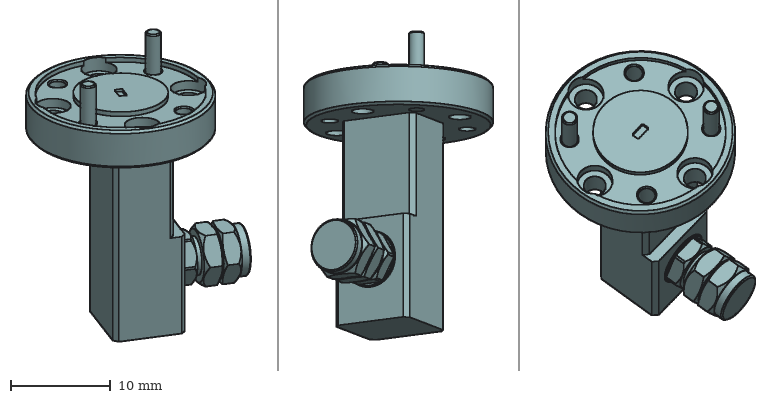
import cadquery as cq
import math

FLANGE_DIAMETER = 19.05
FLANGE_RADIUS = FLANGE_DIAMETER / 2
FLANGE_BOTTOM = 21.3
FLANGE_TOP = 25.45
FLANGE_CHAMFER = 0.25

RIM_INNER_RADIUS = 8.58
BOSS_RADIUS = 4.77
RECESS_DEPTH = 0.5
FLOOR_Z = FLANGE_TOP - RECESS_DEPTH

BOLT_CIRCLE_RADIUS = 7.15
SCREW_HOLE_RADIUS = 1.1
COUNTERBORE_RADIUS = 1.8
COUNTERBORE_DEPTH = 1.0
SCREW_ANGLES = (0, 90, 180, 270)
PIN_ANGLES = (135, 315)
PIN_CLEARANCE_ANGLES = (45, 225)
CLEARANCE_HOLE_RADIUS = 0.85
HOLE_CHAMFER = 0.15
HOLE_CHAMFER_ANGLE = 45

PIN_RADIUS = 0.8
PIN_TOP = 29.27
PIN_CHAMFER = 0.15

SLOT_LENGTH = 1.67
SLOT_WIDTH = 0.82
SLOT_DEPTH = 0.3
SLOT_CORNER_RADIUS = 0.15

BODY_WIDTH = 8.55
BODY_FRONT_Y = -2.05
BODY_BACK_Y = 4.33
BODY_CHAMFER = 0.5
STEP_BACK_Y = 5.55
STEP_TOP = 10.68

CONNECTOR_Z = 6.38
HEX_SIDES = 6
WASHER_RADIUS = 2.87
WASHER_END_Y = 5.77
WASHER_CHAMFER = 0.12
INNER_HEX_FLATS = 5.03
INNER_HEX_CORNER_RADIUS = 2.85
INNER_HEX_END_Y = 7.32
INNER_HEX_BEVEL = 0.35
NECK_RADIUS = 2.0
NUT_START_Y = 7.93
NUT_GROOVE_Y = 9.95
NUT_HEX_END_Y = 11.95
NUT_FLATS = 5.62
NUT_BEVEL = 0.5
GROOVE_RADIUS = 2.72
GROOVE_WIDTH = 0.15
GROOVE_BEVEL = 0.23
NUT_COLLAR_RADIUS = 2.7
NUT_END_Y = 12.95
NUT_COLLAR_CHAMFER = 0.15


def cylinder(radius, bottom, top):
    """Upright cylinder centred on the flange axis."""
    return cq.Workplane("XY").workplane(offset=bottom).circle(radius).extrude(top - bottom)


def on_bolt_circle(tool, angle):
    """Copy of a tool moved from the flange axis to a place on the bolt circle."""
    a = math.radians(angle)
    return tool.translate((BOLT_CIRCLE_RADIUS * math.cos(a), BOLT_CIRCLE_RADIUS * math.sin(a), 0))


def chamfered_hole(radius):
    """Tool for a hole through the flange with a chamfered mouth at the recess floor."""
    mouth = (
        cq.Workplane("XY")
        .workplane(offset=FLOOR_Z)
        .circle(radius + HOLE_CHAMFER)
        .extrude(-HOLE_CHAMFER, taper=HOLE_CHAMFER_ANGLE)
    )
    return cylinder(radius, FLANGE_BOTTOM, FLOOR_Z).union(mouth)


def counterbored_hole():
    """Tool for a screw hole, with its counterbore measured from the recess floor."""
    counterbore = cylinder(COUNTERBORE_RADIUS, FLOOR_Z - COUNTERBORE_DEPTH, FLANGE_TOP)
    return cylinder(SCREW_HOLE_RADIUS, FLANGE_BOTTOM, FLANGE_TOP).union(counterbore)


def make_flange():
    flange = cylinder(FLANGE_RADIUS, FLANGE_BOTTOM, FLANGE_TOP).edges().chamfer(FLANGE_CHAMFER)
    recess = cylinder(RIM_INNER_RADIUS, FLOOR_Z, FLANGE_TOP).cut(cylinder(BOSS_RADIUS, FLOOR_Z, FLANGE_TOP))
    flange = flange.cut(recess)
    for angle in SCREW_ANGLES:
        flange = flange.cut(on_bolt_circle(counterbored_hole(), angle))
    for angle in PIN_ANGLES:
        flange = flange.cut(on_bolt_circle(chamfered_hole(PIN_RADIUS), angle))
    for angle in PIN_CLEARANCE_ANGLES:
        flange = flange.cut(on_bolt_circle(chamfered_hole(CLEARANCE_HOLE_RADIUS), angle))
    return flange


def body_block(back_y, top):
    """Block from the bottom of the part up to a height, with its upright edges chamfered."""
    depth = back_y - BODY_FRONT_Y
    return (
        cq.Workplane("XY")
        .center(0, BODY_FRONT_Y + depth / 2)
        .rect(BODY_WIDTH, depth)
        .extrude(top)
        .edges("|Z")
        .chamfer(BODY_CHAMFER)
    )


def make_waveguide_slot():
    return (
        cq.Workplane("XY")
        .workplane(offset=FLANGE_TOP)
        .rect(SLOT_LENGTH, SLOT_WIDTH)
        .extrude(-SLOT_DEPTH)
        .edges("|Z")
        .fillet(SLOT_CORNER_RADIUS)
    )


def turned(profile):
    """Round solid about the connector axis from (radius, y) points, closed along the axis."""
    points = [(0, profile[0][1]), *profile, (0, profile[-1][1])]
    solid = cq.Workplane("XY").polyline(points).close().revolve(360, (0, 0, 0), (0, 1, 0))
    return solid.translate((0, 0, CONNECTOR_Z))


def hex_across_corners(flats):
    return flats / math.cos(math.pi / HEX_SIDES)


def hex_bar(flats, start_y, end_y):
    """Hexagonal bar along the connector axis, with two of its corners towards -X and +X."""
    return (
        cq.Workplane("XZ", origin=(0, start_y, CONNECTOR_Z))
        .polygon(HEX_SIDES, hex_across_corners(flats))
        .extrude(start_y - end_y)
    )


def make_inner_hex():
    """Hexagon next to the washer, with trimmed corners and a bevelled outer end."""
    envelope = turned([
        (INNER_HEX_CORNER_RADIUS, WASHER_END_Y),
        (INNER_HEX_CORNER_RADIUS, INNER_HEX_END_Y - INNER_HEX_BEVEL),
        (INNER_HEX_CORNER_RADIUS - INNER_HEX_BEVEL, INNER_HEX_END_Y),
    ])
    return hex_bar(INNER_HEX_FLATS, WASHER_END_Y, INNER_HEX_END_Y).intersect(envelope)


def make_nut():
    """Coupling nut: a bevelled hexagon parted by a groove, ending in a round collar."""
    corner_radius = hex_across_corners(NUT_FLATS) / 2
    groove_start = NUT_GROOVE_Y - GROOVE_WIDTH / 2
    groove_end = NUT_GROOVE_Y + GROOVE_WIDTH / 2
    envelope = turned([
        (corner_radius - NUT_BEVEL, NUT_START_Y),
        (corner_radius, NUT_START_Y + NUT_BEVEL),
        (corner_radius, groove_start - GROOVE_BEVEL),
        (GROOVE_RADIUS, groove_start),
        (GROOVE_RADIUS, groove_end),
        (corner_radius, groove_end + GROOVE_BEVEL),
        (corner_radius, NUT_HEX_END_Y - NUT_BEVEL),
        (corner_radius - NUT_BEVEL, NUT_HEX_END_Y),
    ])
    collar = turned([
        (NUT_COLLAR_RADIUS, NUT_HEX_END_Y),
        (NUT_COLLAR_RADIUS, NUT_END_Y - NUT_COLLAR_CHAMFER),
        (NUT_COLLAR_RADIUS - NUT_COLLAR_CHAMFER, NUT_END_Y),
    ])
    return hex_bar(NUT_FLATS, NUT_START_Y, NUT_HEX_END_Y).intersect(envelope).union(collar)


def make_connector():
    washer = turned([
        (WASHER_RADIUS, STEP_BACK_Y),
        (WASHER_RADIUS, WASHER_END_Y - WASHER_CHAMFER),
        (WASHER_RADIUS - WASHER_CHAMFER, WASHER_END_Y),
    ])
    neck = turned([(NECK_RADIUS, INNER_HEX_END_Y), (NECK_RADIUS, NUT_START_Y)])
    return washer.union(make_inner_hex()).union(neck).union(make_nut())


def make_housing():
    """Flange, waveguide body and connector as one solid."""
    return (
        make_flange()
        .union(body_block(BODY_BACK_Y, FLANGE_BOTTOM))
        .union(body_block(STEP_BACK_Y, STEP_TOP))
        .union(make_connector())
        .cut(make_waveguide_slot())
    )


def make_pin(angle):
    """Alignment pin with a chamfered tip, filling its hole down to the flange underside."""
    pin = cylinder(PIN_RADIUS, FLANGE_BOTTOM, PIN_TOP).faces(">Z").edges().chamfer(PIN_CHAMFER)
    return on_bolt_circle(pin, angle)


housing = make_housing()
pins = [make_pin(angle) for angle in PIN_ANGLES]

result = cq.Compound.makeCompound([housing.solids().val(), *[pin.val() for pin in pins]])